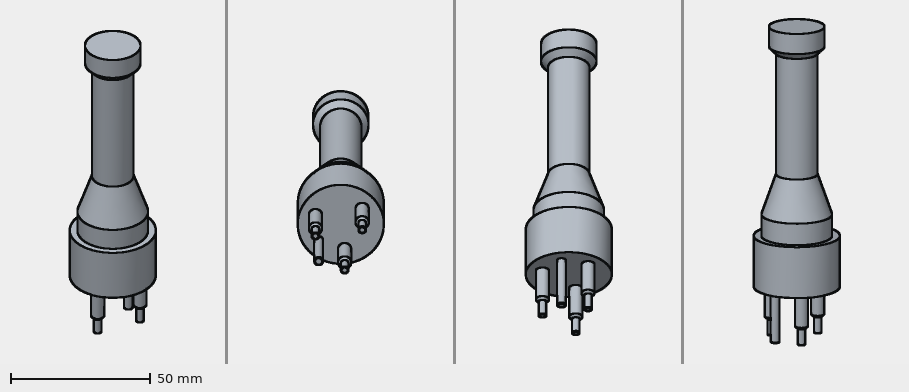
import cadquery as cq
import math

base_diameter = 31.0
collar_diameter = 25.5
stem_diameter = 15.0
cap_diameter = 20.0

base_height = 19.0
collar_height = 8.0
taper_height = 15.0
stem_height = 45.0
cap_height = 7.5
cap_slope_height = (cap_diameter - stem_diameter) / 2

pin_length = 19.0
pin_tip_chamfer = 0.3
contact_diameter = 4.8
contact_tip_diameter = 2.8
contact_shank_length = 12.0
contact_shoulder_height = (contact_diameter - contact_tip_diameter) / 2
contact_count = 3
contact_circle_radius = 9.78
first_contact_angle = -90.0
guide_diameter = 3.2
guide_offset_y = 10.1


def make_body():
    """Revolve the base, collar, taper, stem and cap about the Z axis."""
    collar_top = base_height + collar_height
    taper_top = collar_top + taper_height
    stem_top = taper_top + stem_height
    cap_rim = stem_top + cap_slope_height
    cap_top = cap_rim + cap_height
    half_profile = [
        (0, 0),
        (base_diameter / 2, 0),
        (base_diameter / 2, base_height),
        (collar_diameter / 2, base_height),
        (collar_diameter / 2, collar_top),
        (stem_diameter / 2, taper_top),
        (stem_diameter / 2, stem_top),
        (cap_diameter / 2, cap_rim),
        (cap_diameter / 2, cap_top),
        (0, cap_top),
    ]
    profile = cq.Workplane("XZ").polyline(half_profile).close()
    return profile.revolve(360, (0, 0, 0), (0, 1, 0))


def make_rod(diameter):
    """Plain pin hanging from Z = 0 with a chamfered lower end."""
    rod = cq.Workplane("XY").circle(diameter / 2).extrude(-pin_length)
    return rod.faces("<Z").chamfer(pin_tip_chamfer)


def make_contact_pin():
    """Stepped pin: a wide shank with a sloped shoulder around a thin tip."""
    shank_length = contact_shank_length + contact_shoulder_height
    shank = cq.Workplane("XY").circle(contact_diameter / 2).extrude(-shank_length)
    tip = make_rod(contact_tip_diameter)
    shank = shank.faces("<Z").chamfer(contact_shoulder_height)
    return shank.union(tip)


result = make_body()

for index in range(contact_count):
    angle = math.radians(first_contact_angle + index * 360 / contact_count)
    contact_x = contact_circle_radius * math.cos(angle)
    contact_y = contact_circle_radius * math.sin(angle)
    result = result.union(make_contact_pin().translate((contact_x, contact_y, 0)))

result = result.union(make_rod(guide_diameter).translate((0, guide_offset_y, 0)))